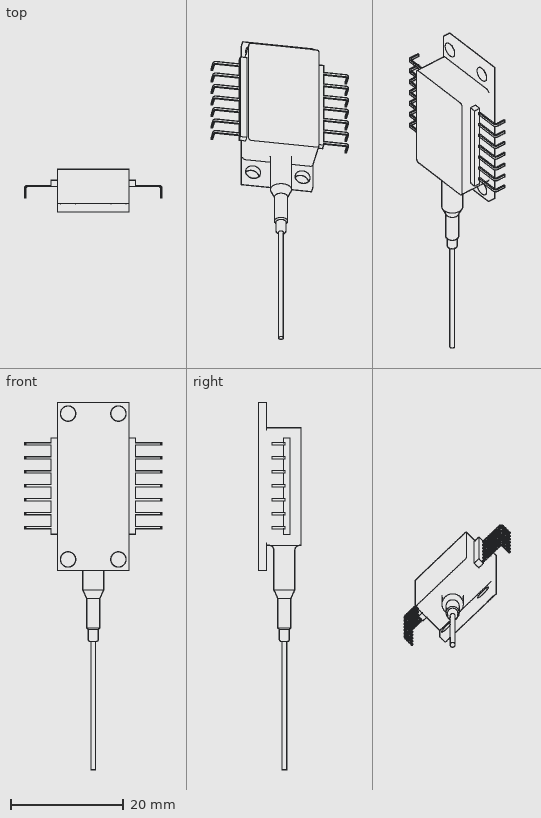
import cadquery as cq

plate_width = 12.8
plate_height = 30.0
plate_thickness = 1.5
plate_edge_radius = 0.08
hole_diameter = 2.7
hole_spacing_x = 9.0
hole_spacing_z = 26.0

overall_depth = 7.65
housing_height = 21.0
housing_corner_radius = 0.5
plate_center_z = plate_height / 2
housing_bottom_z = plate_center_z - housing_height / 2

rail_height = 17.2
rail_projection = 1.2
rail_depth = 1.2
rail_center_z = 15.05
rail_front_y = 4.5
pin_count = 7
pin_pitch = 2.5
pin_width = 0.45
pin_thickness = 0.25
pin_bend_radius = 0.5
pin_span = 24.5
pin_tip_y = 2.5
pin_center_z = 15.1

fibre_axis_y = rail_front_y + pin_thickness / 2
overall_length = 65.5
sleeve_radius = 1.9
flare_radius = 0.8
sleeve_end_z = -3.4
neck_radius = 1.2
neck_start_z = -5.0
neck_end_z = -10.2
neck_chamfer = 0.25
tip_radius = 0.9
tip_end_z = -12.65
tip_rounding = 0.4
fibre_radius = 0.445
fibre_end_z = plate_height - overall_length


def make_plate():
    plate = cq.Workplane("XY").box(
        plate_width, plate_thickness, plate_height, centered=(True, False, False)
    )
    plate = plate.edges().fillet(plate_edge_radius)
    holes = (
        cq.Workplane("XZ", origin=(0, 0, plate_center_z))
        .rarray(hole_spacing_x, hole_spacing_z, 2, 2)
        .circle(hole_diameter / 2)
        .extrude(-plate_thickness)
    )
    return plate.cut(holes)


def make_housing():
    housing_front_y = plate_thickness - plate_edge_radius
    return (
        cq.Workplane("XZ", origin=(0, housing_front_y, plate_center_z))
        .rect(plate_width, housing_height)
        .extrude(housing_front_y - overall_depth)
        .edges("|Y")
        .fillet(housing_corner_radius)
    )


def make_rails():
    return cq.Workplane("XY", origin=(0, rail_front_y, rail_center_z)).box(
        plate_width + 2 * rail_projection, rail_depth, rail_height, centered=(True, False, True)
    )


def make_pin_pair(center_z):
    """One staple-shaped strip: it crosses the housing and both ends bend toward the plate."""
    pin_back_y = rail_front_y + pin_thickness
    inner_span = pin_span - 2 * pin_thickness
    leg_length = pin_back_y - pin_tip_y
    staple = (
        cq.Workplane("XY", origin=(0, pin_tip_y, center_z))
        .box(pin_span, leg_length, pin_width, centered=(True, False, True))
        .edges("|Z and >Y")
        .fillet(pin_bend_radius)
    )
    opening = (
        cq.Workplane("XY", origin=(0, pin_tip_y, center_z))
        .box(inner_span, leg_length - pin_thickness, pin_width, centered=(True, False, True))
        .edges("|Z and >Y")
        .fillet(pin_bend_radius - pin_thickness)
    )
    return staple.cut(opening)


def make_fibre():
    """Revolved strain relief and fibre, flaring out where it meets the housing."""
    profile = (
        cq.Workplane("XZ", origin=(0, fibre_axis_y, 0))
        .moveTo(0, housing_bottom_z)
        .lineTo(sleeve_radius + flare_radius, housing_bottom_z)
        .radiusArc((sleeve_radius, housing_bottom_z - flare_radius), -flare_radius)
        .lineTo(sleeve_radius, sleeve_end_z)
        .lineTo(neck_radius, neck_start_z)
        .lineTo(neck_radius, neck_end_z)
        .lineTo(tip_radius, neck_end_z - neck_chamfer)
        .lineTo(tip_radius, tip_end_z + tip_rounding)
        .radiusArc((tip_radius - tip_rounding, tip_end_z), tip_rounding)
        .lineTo(fibre_radius, tip_end_z)
        .lineTo(fibre_radius, fibre_end_z)
        .lineTo(0, fibre_end_z)
        .close()
    )
    return profile.revolve(360, (0, 0, 0), (0, 1, 0))


result = make_plate().union(make_housing()).union(make_rails()).union(make_fibre())
for index in range(pin_count):
    pin_offset = (index - (pin_count - 1) / 2) * pin_pitch
    result = result.union(make_pin_pair(pin_center_z + pin_offset))